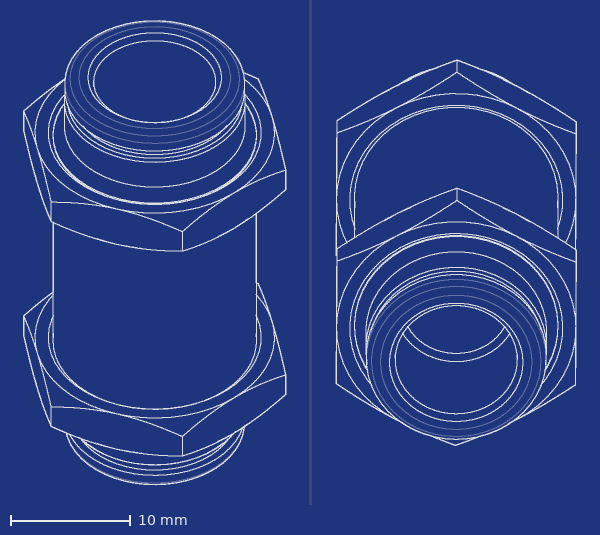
import cadquery as cq
import math

TOTAL_LENGTH = 39.5
HALF_LENGTH = TOTAL_LENGTH / 2

NUT_FLATS = 20.0
NUT_CORNERS = NUT_FLATS / math.cos(math.radians(30))
NUT_HEIGHT = 4.0
NUT_TO_END = 6.2
NUT_CHAMFER_ANGLE = 30
NUT_BORE_CHAMFER = 0.4

TUBE_DIAMETER = 17
NECK_DIAMETER = 15.1
NECK_CHAMFER = 0.25
NECK_LENGTH = 3.05
TUBE_TO_END = 2.45
BORE_DIAMETER = 9.0
LEAD_IN_ANGLE = 30

FLANGE_DIAMETER = 15
FLANGE_THICKNESS = 1.45
FLANGE_FILLET = 0.45
CROWN_DIAMETER = 12.65
CROWN_DROP = 0.15
SLEEVE_DIAMETER = 13.7
SLEEVE_BORE = 10.2
SLEEVE_BORE_CHAMFER = 0.47
SLEEVE_LENGTH = 9.88

tube_end = HALF_LENGTH - TUBE_TO_END
nut_outer_face = HALF_LENGTH - NUT_TO_END
sleeve_inner_end = HALF_LENGTH - SLEEVE_LENGTH


def revolve_profile(profile):
    """Turn a closed profile, drawn as radius and height in XZ, about the Z axis."""
    return profile.close().revolve(360, (0, 0, 0), (0, 1, 0))


def mirrored(body):
    """Copy a body from the upper end to the lower end."""
    return body.mirror("XY")


def make_tube():
    tube_radius = TUBE_DIAMETER / 2
    neck_radius = NECK_DIAMETER / 2
    bore_radius = BORE_DIAMETER / 2
    pocket_radius = SLEEVE_DIAMETER / 2
    lead_radius = SLEEVE_BORE / 2
    lead_depth = (lead_radius - bore_radius) * math.tan(math.radians(LEAD_IN_ANGLE))
    shoulder_top = tube_end - NECK_LENGTH
    shoulder_bottom = shoulder_top - (tube_radius - neck_radius)

    upper_points = [
        (tube_radius, shoulder_bottom),
        (neck_radius, shoulder_top),
        (neck_radius, tube_end - NECK_CHAMFER),
        (neck_radius - NECK_CHAMFER, tube_end),
        (pocket_radius, tube_end),
        (pocket_radius, sleeve_inner_end),
        (lead_radius, sleeve_inner_end),
        (bore_radius, sleeve_inner_end - lead_depth),
    ]
    lower_points = [(radius, -height) for radius, height in reversed(upper_points)]
    return revolve_profile(cq.Workplane("XZ").polyline(upper_points + lower_points))


def make_nut():
    nut_inner_face = nut_outer_face - NUT_HEIGHT
    bore_radius = TUBE_DIAMETER / 2
    face_radius = NUT_FLATS / 2
    corner_radius = NUT_CORNERS / 2
    corner_drop = (corner_radius - face_radius) * math.tan(math.radians(NUT_CHAMFER_ANGLE))

    hexagon = (
        cq.Workplane("XY", origin=(0, 0, nut_inner_face))
        .polygon(6, NUT_CORNERS)
        .extrude(NUT_HEIGHT)
    )
    blank = revolve_profile(
        cq.Workplane("XZ")
        .moveTo(bore_radius + NUT_BORE_CHAMFER, nut_inner_face)
        .lineTo(face_radius, nut_inner_face)
        .lineTo(corner_radius, nut_inner_face + corner_drop)
        .lineTo(corner_radius, nut_outer_face - corner_drop)
        .lineTo(face_radius, nut_outer_face)
        .lineTo(bore_radius + NUT_BORE_CHAMFER, nut_outer_face)
        .lineTo(bore_radius, nut_outer_face - NUT_BORE_CHAMFER)
        .lineTo(bore_radius, nut_inner_face + NUT_BORE_CHAMFER)
    )
    return hexagon.intersect(blank)


def make_sleeve():
    flange_radius = FLANGE_DIAMETER / 2
    flange_bottom = HALF_LENGTH - FLANGE_THICKNESS
    sleeve_radius = SLEEVE_DIAMETER / 2
    bore_radius = SLEEVE_BORE / 2
    rim_height = HALF_LENGTH - CROWN_DROP
    fillet_centre = (flange_radius - FLANGE_FILLET, rim_height - FLANGE_FILLET)
    fillet_offset = FLANGE_FILLET * math.sqrt(0.5)

    return revolve_profile(
        cq.Workplane("XZ")
        .moveTo(bore_radius, sleeve_inner_end)
        .lineTo(sleeve_radius, sleeve_inner_end)
        .lineTo(sleeve_radius, flange_bottom)
        .lineTo(flange_radius, flange_bottom)
        .lineTo(flange_radius, fillet_centre[1])
        .threePointArc(
            (fillet_centre[0] + fillet_offset, fillet_centre[1] + fillet_offset),
            (fillet_centre[0], rim_height),
        )
        .lineTo(CROWN_DIAMETER / 2, HALF_LENGTH)
        .lineTo(bore_radius + SLEEVE_BORE_CHAMFER, HALF_LENGTH)
        .lineTo(bore_radius, HALF_LENGTH - SLEEVE_BORE_CHAMFER)
    )


tube = make_tube()

end_bodies = []
for make_body in (make_nut, make_sleeve):
    upper_body = make_body()
    end_bodies += [upper_body.val(), mirrored(upper_body).val()]

result = cq.Compound.makeCompound([tube.val(), *end_bodies])